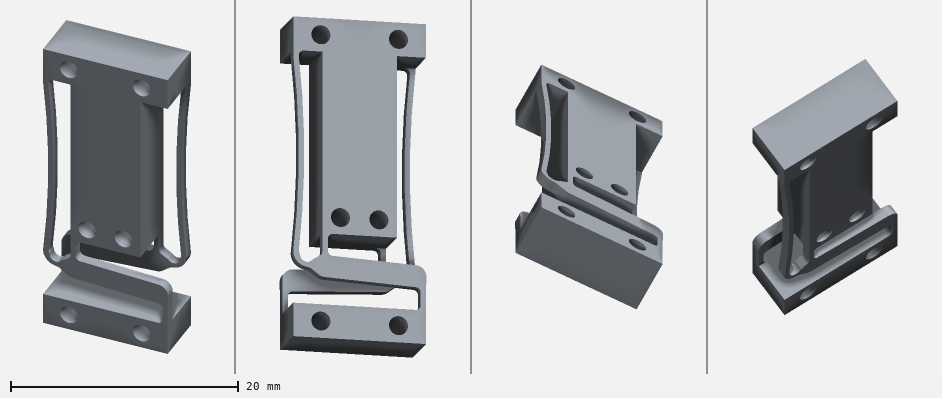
import cadquery as cq
import math

length = 29.0
depth = 5.0
leaf_thickness = 1.0
bar_width = 12.0
bar_height = 3.05
plate_width = 6.73
plate_bottom = 9.48

hole_diameter = 1.7
end_hole_spacing = 7.02
plate_hole_spacing = 3.48

flexure = 0.5
corner = 0.45

arm_bottom = 7.75
arm_bow = 0.5

curl_outer_bottom = 6.35
curl_inner_x = -4.75
curl_inner_z = 7.45
curl_inner_radius = 0.65
curl_rise_angle = 55.0
web_rise_angle = 31.0
curl_neck_x = -4.55
web_foot_x = -3.45
neck_radius = 0.72
web_foot_radius = 1.0

crossbar_angle = 3.0
crossbar_top_at_centre = 7.37
crossbar_bottom_at_centre = 5.36
crossbar_end_radius = 1.0
end_swell_start = 4.6
end_swell = 0.045

half_bar = bar_width / 2
half_plate = plate_width / 2
half_depth = depth / 2
plate_top = plate_bottom + bar_height
top_bar_bottom = length - bar_height
arm_top = top_bar_bottom - corner
spacer_thickness = depth - 2 * leaf_thickness


def slope(angle):
    return math.tan(math.radians(angle))


def crossbar_top(x):
    return crossbar_top_at_centre - x * slope(crossbar_angle)


def crossbar_bottom(x):
    return crossbar_bottom_at_centre - x * slope(crossbar_angle)


tolerance = 2.9e-07


def is_apart(start, end):
    return (end - start).Length > tolerance


def rounded_outline(corners):
    """Closed XZ outline; each corner is (x, z) or (x, z, radius)."""
    pieces = []
    for i, (x, z, *radius) in enumerate(corners):
        point = cq.Vector(x, z)
        if not radius:
            pieces.append([point])
            continue
        before = cq.Vector(*corners[i - 1][:2])
        after = cq.Vector(*corners[(i + 1) % len(corners)][:2])
        to_before = (before - point).normalized()
        to_after = (after - point).normalized()
        half_angle = to_before.getAngle(to_after) / 2
        tangent_length = radius[0] / math.tan(half_angle)
        apex_distance = radius[0] / math.sin(half_angle) - radius[0]
        bisector = (to_before + to_after).normalized()
        pieces.append([
            point + to_before * tangent_length,
            point + bisector * apex_distance,
            point + to_after * tangent_length,
        ])

    position = pieces[0][-1]
    outline = cq.Workplane("XZ").moveTo(position.x, position.y)
    for piece in pieces[1:] + pieces[:1]:
        if is_apart(position, piece[0]):
            outline = outline.lineTo(piece[0].x, piece[0].y)
        if len(piece) > 1:
            outline = outline.threePointArc(piece[1].toTuple()[:2], piece[2].toTuple()[:2])
        position = piece[-1]
    return outline.close()


def hole_pair(spacing, z):
    """Two cylinders along Y, long enough to cut through the full depth."""
    return (
        cq.Workplane("XZ")
        .pushPoints([(-spacing / 2, z), (spacing / 2, z)])
        .circle(hole_diameter / 2)
        .extrude(half_depth, both=True)
    )


def pad(width, bottom, height, thickness):
    """Rectangular block centred on X and Y."""
    return cq.Workplane("XY", origin=(0, 0, bottom)).rect(width, thickness).extrude(height)


bottom_holes = hole_pair(end_hole_spacing, bar_height / 2)
plate_holes = hole_pair(plate_hole_spacing, plate_bottom + bar_height / 2)
top_holes = hole_pair(end_hole_spacing, length - bar_height / 2)


def flexure_leaf():
    """Front leaf: two end bars and a plate, joined by an arm, a crossbar and thin strips."""
    strip_inner = half_bar - flexure
    crossbar_end = half_bar + end_swell
    plate_strip_inner = -half_plate + flexure

    arm_half_height = (arm_top - arm_bottom) / 2
    arm_middle = arm_bottom + arm_half_height
    arm_end_tilt = 2 * math.atan(arm_bow / arm_half_height)
    arm_radius = arm_half_height / math.sin(arm_end_tilt)
    arm_crossing = arm_half_height * math.tan(arm_end_tilt)

    curl_outer_radius = arm_bottom - curl_outer_bottom
    curl_inner_left = curl_inner_x - curl_inner_radius
    rise = math.radians(curl_rise_angle)
    curl_tip_x = curl_inner_x + curl_inner_radius * math.sin(rise)
    curl_tip_z = curl_inner_z - curl_inner_radius * math.cos(rise)
    curl_corner_z = curl_tip_z - (curl_tip_x - curl_inner_left) * math.tan(rise)
    web_top = curl_tip_z + (-half_plate - curl_tip_x) * slope(web_rise_angle)

    lower_bar_and_strip = [
        (-half_bar, bar_height),
        (-half_bar, 0),
        (half_bar, 0),
        (half_bar, end_swell_start),
    ]
    crossbar_upper_side = [
        (crossbar_end, crossbar_top(crossbar_end), crossbar_end_radius),
        (plate_strip_inner, crossbar_top(plate_strip_inner), corner),
    ]
    plate = [
        (plate_strip_inner, plate_bottom, corner),
        (half_plate, plate_bottom),
        (half_plate, plate_top),
        (-half_plate, plate_top),
    ]
    inside_of_curl = [
        (-half_plate, web_top, corner),
        (curl_tip_x, curl_tip_z),
        (curl_inner_left, curl_corner_z, curl_inner_radius),
        (curl_inner_left, curl_inner_z),
    ]
    arm_inner_side = [
        (-strip_inner, arm_bottom),
        (-strip_inner + arm_crossing, arm_middle, arm_radius),
        (-strip_inner, arm_top),
        (-strip_inner, top_bar_bottom, corner),
    ]
    top_bar = [
        (half_bar, top_bar_bottom),
        (half_bar, length),
        (-half_bar, length),
    ]
    arm_outer_side = [
        (-half_bar, arm_top),
        (-half_bar + arm_crossing, arm_middle, arm_radius),
        (-half_bar, arm_bottom),
    ]
    outside_of_curl = [
        (-half_bar, curl_outer_bottom, curl_outer_radius),
        (curl_neck_x, curl_outer_bottom, neck_radius),
        (web_foot_x, crossbar_bottom(web_foot_x), web_foot_radius),
    ]
    lower_window = [
        (strip_inner, crossbar_bottom(strip_inner), corner),
        (strip_inner, bar_height, corner),
    ]
    outline = rounded_outline(
        lower_bar_and_strip + crossbar_upper_side + plate + inside_of_curl + arm_inner_side
        + top_bar + arm_outer_side + outside_of_curl + lower_window
    )
    leaf = outline.extrude(leaf_thickness).translate((0, leaf_thickness - half_depth, 0))
    return leaf.cut(bottom_holes).cut(plate_holes).cut(top_holes)


leaves = [flexure_leaf().rotate((0, 0, 0), (0, 0, 1), turn) for turn in (0, 180)]


def end_spacer(bottom, holes):
    return pad(bar_width, bottom, bar_height, spacer_thickness).cut(holes)


end_spacers = [
    end_spacer(bottom, holes)
    for bottom, holes in ((0, bottom_holes), (top_bar_bottom, top_holes))
]

plate_spacer = pad(plate_width, plate_bottom, bar_height, spacer_thickness).cut(plate_holes)

block = pad(plate_width, plate_top, top_bar_bottom - plate_top, depth)

result = cq.Compound.makeCompound(
    [body.val() for body in leaves + end_spacers + [plate_spacer, block]]
)